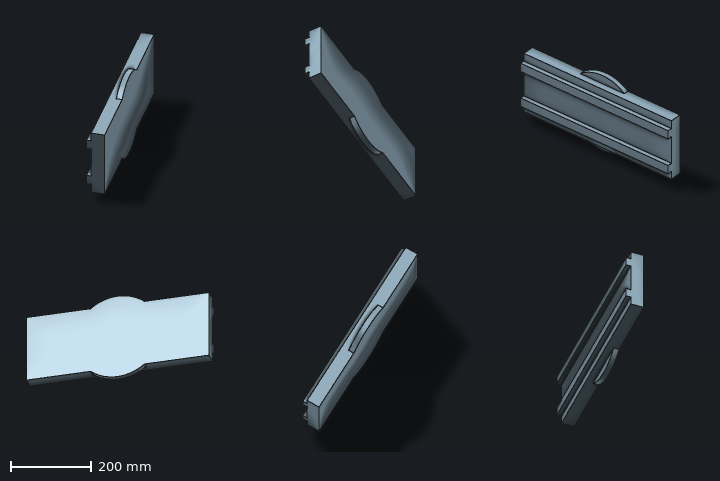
import cadquery as cq

length = 475.0
total_depth = 47.5

rail_depth = 13.0
rail_height = 25.0
rail_spacing = 104.5

plate_height = 175.8
plate_depth = total_depth - rail_depth
disc_diameter = 225.0
disc_thickness = 15.0


def make_plate():
    """Flat plate with its back face at X = 0, standing toward -X."""
    return cq.Workplane("XY").box(plate_depth, length, plate_height).translate((-plate_depth / 2, 0, 0))


def make_rail(center_z):
    """Full-length rail on the front face of the plate."""
    center_x = -plate_depth - rail_depth / 2
    return cq.Workplane("XY").box(rail_depth, length, rail_height).translate((center_x, 0, center_z))


def make_disc():
    """Round disc protruding above and below the plate."""
    return cq.Workplane("YZ").circle(disc_diameter / 2).extrude(-disc_thickness)


result = make_plate().union(make_disc())
for side in (-1, 1):
    result = result.union(make_rail(side * rail_spacing / 2))